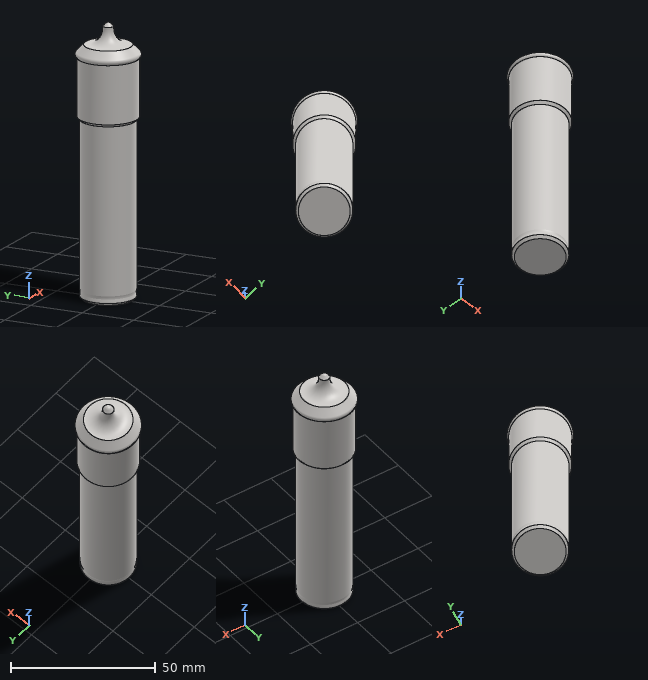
import cadquery as cq
import math

total_height = 100.0

shank_radius = 10.0
base_chamfer = 1.0
base_land_height = 0.3
groove_depth = 0.2
groove_bottom = 2.35
groove_top = 3.5

body_radius = 11.0
shoulder_bottom = 65.0

rim_radius = 11.62
rim_round = 1.2
bevel_angle = math.radians(45)
head_flat_radius = 8.6
head_top = 92.0

nipple_radius = 2.0
flare_radius = 5.75
nipple_height = 0.85
nose_end_radius = 1.0
nose_end_height = 0.4


def add_shank(profile):
    """Outline the base, the groove and the shank up to the body."""
    groove_radius = shank_radius - groove_depth
    land_top = base_chamfer + base_land_height
    arc_height = groove_top - groove_bottom
    arc_radius = (arc_height**2 + groove_depth**2) / (2 * groove_depth)
    arc_mid_r = groove_radius + arc_radius - math.sqrt(arc_radius**2 - (arc_height / 2) ** 2)
    return (
        profile.lineTo(shank_radius - base_chamfer, 0)
        .lineTo(shank_radius, base_chamfer)
        .lineTo(shank_radius, land_top)
        .lineTo(groove_radius, groove_bottom)
        .threePointArc((arc_mid_r, groove_bottom + arc_height / 2), (shank_radius, groove_top))
        .lineTo(shank_radius, shoulder_bottom)
    )


def add_head(profile):
    """Outline the conical shoulder, the body, the rounded rim and the bevelled head."""
    rim_center_r = rim_radius - rim_round
    bevel_normal = math.pi / 2 - bevel_angle
    tangent_r = rim_center_r + rim_round * math.cos(bevel_normal)
    tangent_z = head_top - (tangent_r - head_flat_radius) * math.tan(bevel_angle)
    rim_center_z = tangent_z - rim_round * math.sin(bevel_normal)
    rim_drop = math.sqrt(rim_round**2 - (body_radius - rim_center_r) ** 2)
    shoulder_height = body_radius - shank_radius
    return (
        profile.lineTo(body_radius, shoulder_bottom + shoulder_height)
        .lineTo(body_radius, rim_center_z - rim_drop)
        .threePointArc((rim_radius, rim_center_z), (tangent_r, tangent_z))
        .lineTo(head_flat_radius, head_top)
    )


def add_nipple(profile):
    """Outline the flared neck and the pointed nose up to the axis."""
    flare_center_r = nipple_radius + flare_radius
    flare_top = head_top + flare_radius
    diagonal = flare_radius * math.sqrt(0.5)
    nose_bottom = flare_top + nipple_height
    cap_bottom = total_height - nose_end_height
    cap_sphere_radius = (nose_end_radius**2 + nose_end_height**2) / (2 * nose_end_height)
    cap_mid_r = nose_end_radius / 2
    cap_sag = cap_sphere_radius - math.sqrt(cap_sphere_radius**2 - cap_mid_r**2)
    return (
        profile.lineTo(flare_center_r, head_top)
        .threePointArc(
            (flare_center_r - diagonal, flare_top - diagonal),
            (nipple_radius, flare_top),
        )
        .lineTo(nipple_radius, nose_bottom)
        .lineTo(nose_end_radius, cap_bottom)
        .threePointArc((cap_mid_r, total_height - cap_sag), (0, total_height))
    )


outline = cq.Workplane("XZ").moveTo(0, 0)
outline = add_nipple(add_head(add_shank(outline)))
result = outline.close().revolve(360, (0, 0, 0), (0, 1, 0))